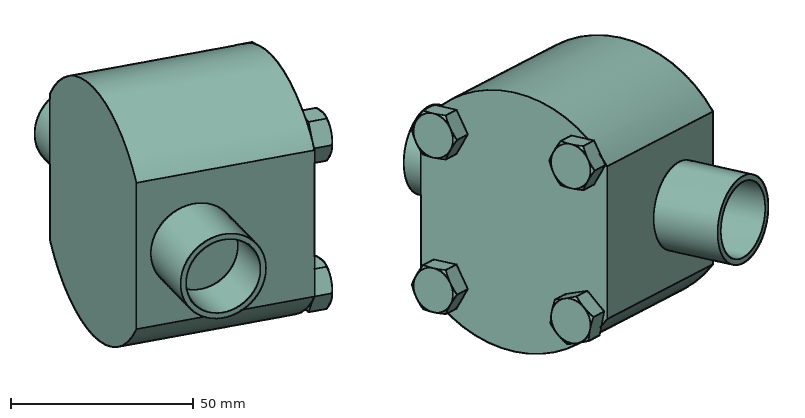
import cadquery as cq
import math

housing_diameter = 75.5
housing_width = 61.0
body_depth = 34.0
lid_depth = 19.0
housing_depth = body_depth + lid_depth

overall_length = 102.9
pipe_outer_diameter = 25.4
pipe_bore_diameter = 22.1
pipe_bore_depth = 16.0
pipe_center_y = body_depth / 2

head_height = 6.0
head_across_flats = 12.9
head_across_corners = head_across_flats / math.cos(math.radians(30))
head_chamfer_angle = 30.0
bolt_offset = 22.5
turned_head_angle = 18.3


def make_housing():
    """Round block along Y with its front face at Y = 0 and flats at both X sides."""
    block = cq.Workplane("XZ").circle(housing_diameter / 2).extrude(-housing_depth)
    flats = cq.Workplane("XZ").rect(housing_width, housing_diameter).extrude(-housing_depth)
    return block.intersect(flats)


def pipe_plane(x):
    return cq.Workplane("YZ", origin=(x, pipe_center_y, 0))


def make_pipe_stubs():
    """Solid round bar through the body, reaching out at both sides."""
    return pipe_plane(-overall_length / 2).circle(pipe_outer_diameter / 2).extrude(overall_length)


def make_pipe_bores():
    """Blind bores running inward from the two pipe ends."""
    left = pipe_plane(-overall_length / 2).circle(pipe_bore_diameter / 2).extrude(pipe_bore_depth)
    return left.union(left.mirror("YZ"))


def make_bolt_head(x, z, turn):
    """Hex head with conically chamfered outer corners, turned about its own axis."""
    hexagon = cq.Workplane("XZ").polygon(6, head_across_corners).extrude(-head_height)
    corner_radius = head_across_corners / 2
    rim_radius = head_across_flats / 2
    chamfer_drop = (corner_radius - rim_radius) * math.tan(math.radians(head_chamfer_angle))
    envelope = (
        cq.Workplane("XY")
        .moveTo(0, 0)
        .lineTo(corner_radius, 0)
        .lineTo(corner_radius, head_height - chamfer_drop)
        .lineTo(rim_radius, head_height)
        .lineTo(0, head_height)
        .close()
        .revolve(360, (0, 0, 0), (0, 1, 0))
    )
    head = hexagon.intersect(envelope)
    return head.rotate((0, 0, 0), (0, 1, 0), turn).translate((x, housing_depth, z))


result = make_housing().union(make_pipe_stubs()).cut(make_pipe_bores())

for x_side in (-1, 1):
    for z_side in (-1, 1):
        is_turned = x_side < 0 and z_side < 0
        turn = turned_head_angle if is_turned else 0
        result = result.union(make_bolt_head(x_side * bolt_offset, z_side * bolt_offset, turn))